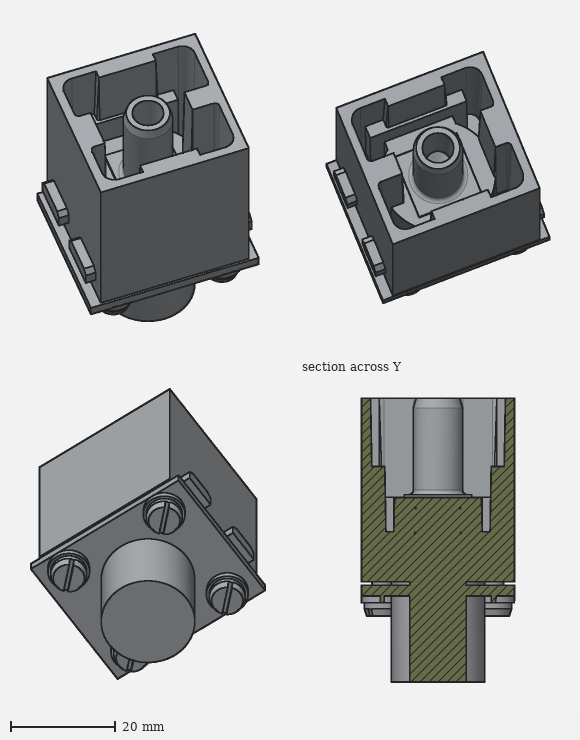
import cadquery as cq
import math

SIZE_X = 29.4
SIZE_Y = 34.4
SIZE_Z = 54.5

BODY_Y = 30.35
BODY_BOTTOM = 19.25

PLATE_TOP = 18.6
PLATE_THICKNESS = 2.05
PLATE_BOTTOM = PLATE_TOP - PLATE_THICKNESS
BARREL_DIAMETER = 18

SCREW_X = 10.7
SCREW_Y = 11.1
SPACER_DIAMETER = 4.0
WASHER_DIAMETER = 8.0
WASHER_THICKNESS = 1.3
HEAD_DIAMETER = 7.0
HEAD_TIP_DIAMETER = 6
HEAD_STRAIGHT = 1.1
HEAD_TAPERED = 1.45
SLOT_WIDTH = 0.8
SLOT_DEPTH = 1.3
SLOT_ANGLE = 45

BUMP_BOTTOM = 23.05
BUMP_TOP = 26.45
BUMP_CHAMFER = 1.0
FRONT_BUMP_INNER = 2.85
FRONT_BUMP_OUTER = 11.9
BACK_BUMP_INNER = 3.75
BACK_BUMP_OUTER = 10.9
BACK_BUMP_CHAMFER = 1.15

CAVITY_X = 12.9
CAVITY_BACK = 13.45
CAVITY_FRONT = -13.3
CAVITY_CORNER = 2.5
CAVITY_DRAFT = 1
SIDE_RIB_X = 11.3
SIDE_RIB_Y = 5.85
SIDE_RIB_DRAFT = 1.9
BACK_KEY_HALF = 2.25
BACK_KEY_TIP = 8.3
FRONT_KEY_HALF = 3.9
FRONT_KEY_TIP = -10.3
KEY_ROOT_RADIUS = 0.85

CORNER_FLOOR = 24
CENTRE_FLOOR = 35.4
LEDGE_FLOOR = 41.4
LEDGE_X = 10.2
LEDGE_Y = 10.0
CENTRE_DIAMETER = 22.0
CENTRE_HALF_Y = 7.05

PIN_BASE_SQUARE = 12.9
PIN_BASE_HEIGHT = 0.55
PIN_DIAMETER = 9.5
PIN_FOOT_RADIUS = 0.9
PIN_TIP_DIAMETER = 8.4
PIN_CHAMFER_HEIGHT = 1.85
BORE_DIAMETER = 6
BORE_END_DIAMETER = 5.0
BORE_DEPTH = 10.9
BORE_CONE_HEIGHT = 1.45


def box(size_x, size_y, bottom, top):
    """Block centred on the Z axis between two heights."""
    return cq.Workplane("XY").workplane(offset=bottom).rect(size_x, size_y).extrude(top - bottom)


def cylinder(diameter, bottom, top):
    """Cylinder on the Z axis between two heights."""
    return cq.Workplane("XY").workplane(offset=bottom).circle(diameter / 2).extrude(top - bottom)


def turned(profile):
    """Solid of revolution about Z from (radius, height) points."""
    return cq.Workplane("XZ").polyline(profile).close().revolve(360, (0, 0, 0), (0, 1, 0))


def cavity():
    """Drafted pocket with a key reaching in at the front and at the back."""
    right_half = [
        (BACK_KEY_HALF, BACK_KEY_TIP),
        (BACK_KEY_HALF, CAVITY_BACK),
        (CAVITY_X, CAVITY_BACK),
        (CAVITY_X, CAVITY_FRONT),
        (FRONT_KEY_HALF, CAVITY_FRONT),
        (FRONT_KEY_HALF, FRONT_KEY_TIP),
    ]
    left_half = [(-x, y) for x, y in reversed(right_half)]
    outline = cq.Sketch().polygon(right_half + left_half + right_half[:1])
    main_corners = [(x, y) for x in (-CAVITY_X, CAVITY_X) for y in (CAVITY_BACK, CAVITY_FRONT)]
    for x, y in main_corners:
        outline = outline.reset().vertices(cq.selectors.NearestToPointSelector((x, y, 0)))
        outline = outline.fillet(CAVITY_CORNER)
    key_roots = [(BACK_KEY_HALF, CAVITY_BACK), (FRONT_KEY_HALF, CAVITY_FRONT)]
    for x, y in key_roots + [(-x, y) for x, y in key_roots]:
        outline = outline.reset().vertices(cq.selectors.NearestToPointSelector((x, y, 0)))
        outline = outline.fillet(KEY_ROOT_RADIUS)
    depth = SIZE_Z - CORNER_FLOOR
    return cq.Workplane("XY", origin=(0, 0, SIZE_Z)).placeSketch(outline.reset()).extrude(
        -depth, taper=CAVITY_DRAFT
    )


def side_rib(side):
    """Rib on the cavity wall at side (+1 or -1) along X, widening down to the ledge."""
    outer_x = SIZE_X / 2
    return (
        cq.Workplane("XY", origin=(side * (SIDE_RIB_X + outer_x) / 2, 0, SIZE_Z))
        .rect(outer_x - SIDE_RIB_X, 2 * SIDE_RIB_Y)
        .extrude(LEDGE_FLOOR - SIZE_Z, taper=-SIDE_RIB_DRAFT)
    )


def centre_floor():
    """Round floor with a straight bar across it, widening downwards."""
    top = cq.Workplane("XY", origin=(0, 0, CENTRE_FLOOR))
    depth = CENTRE_FLOOR - CORNER_FLOOR
    disc = top.circle(CENTRE_DIAMETER / 2).extrude(-depth, taper=-CAVITY_DRAFT)
    bar = top.rect(2 * LEDGE_X, 2 * CENTRE_HALF_Y).extrude(-depth, taper=-CAVITY_DRAFT)
    return disc.union(bar)


def ledge(side):
    """Highest floor level, along the wall at side (+1 or -1) along X."""
    foot_x = LEDGE_X - (LEDGE_FLOOR - CORNER_FLOOR) * math.tan(math.radians(CAVITY_DRAFT))
    outer_x = SIZE_X / 2
    profile = [
        (side * foot_x, CORNER_FLOOR),
        (side * LEDGE_X, LEDGE_FLOOR),
        (side * outer_x, LEDGE_FLOOR),
        (side * outer_x, CORNER_FLOOR),
    ]
    return cq.Workplane("XZ").polyline(profile).close().extrude(LEDGE_Y, both=True)


def contact_pin():
    """Stepped pin standing on a square base, flush with the rim."""
    base_top = CENTRE_FLOOR + PIN_BASE_HEIGHT
    pin_radius = PIN_DIAMETER / 2
    pin = turned([
        (0, base_top),
        (pin_radius, base_top),
        (pin_radius, SIZE_Z - PIN_CHAMFER_HEIGHT),
        (PIN_TIP_DIAMETER / 2, SIZE_Z),
        (0, SIZE_Z),
    ])
    bore_end = SIZE_Z - BORE_DEPTH
    bore = turned([
        (0, SIZE_Z),
        (BORE_DIAMETER / 2, SIZE_Z),
        (BORE_END_DIAMETER / 2, bore_end),
        (0, bore_end - BORE_CONE_HEIGHT),
    ])
    base = box(PIN_BASE_SQUARE, PIN_BASE_SQUARE, CENTRE_FLOOR, base_top)
    post = base.union(pin)
    post = post.faces("<Z[1]").edges("%CIRCLE").fillet(PIN_FOOT_RADIUS)
    return post.cut(bore)


def latch_bump(side, centre_x, length, chamfer_x):
    """Bump on the Y face given by side (+1 or -1), its upper corners cut off."""
    half = length / 2
    shoulder = BUMP_TOP - BUMP_CHAMFER
    profile = [
        (-half, BUMP_BOTTOM),
        (half, BUMP_BOTTOM),
        (half, shoulder),
        (half - chamfer_x, BUMP_TOP),
        (chamfer_x - half, BUMP_TOP),
        (-half, shoulder),
    ]
    return (
        cq.Workplane("XZ", origin=(centre_x, 0, 0))
        .polyline(profile)
        .close()
        .extrude(-side * SIZE_Y / 2)
    )


def screw():
    """Spacer, washer and slotted head on the Z axis."""
    washer_bottom = PLATE_BOTTOM - WASHER_THICKNESS
    taper_top = washer_bottom - HEAD_STRAIGHT
    tip = taper_top - HEAD_TAPERED
    head = turned([
        (0, washer_bottom),
        (HEAD_DIAMETER / 2, washer_bottom),
        (HEAD_DIAMETER / 2, taper_top),
        (HEAD_TIP_DIAMETER / 2, tip),
        (0, tip),
    ])
    slot = box(2 * HEAD_DIAMETER, SLOT_WIDTH, tip, tip + SLOT_DEPTH)
    head = head.cut(slot.rotate((0, 0, 0), (0, 0, 1), SLOT_ANGLE))
    washer = cylinder(WASHER_DIAMETER, washer_bottom, PLATE_BOTTOM)
    spacer = cylinder(SPACER_DIAMETER, PLATE_BOTTOM, BODY_BOTTOM)
    return head.union(washer).union(spacer)


housing = box(SIZE_X, BODY_Y, BODY_BOTTOM, SIZE_Z)
for direction in (-1, 1):
    for side, inner, outer, chamfer_x in (
        (-1, FRONT_BUMP_INNER, FRONT_BUMP_OUTER, BUMP_CHAMFER),
        (1, BACK_BUMP_INNER, BACK_BUMP_OUTER, BACK_BUMP_CHAMFER),
    ):
        middle = direction * (inner + outer) / 2
        housing = housing.union(latch_bump(side, middle, outer - inner, chamfer_x))

pocket = cavity().cut(centre_floor())
for side in (-1, 1):
    pocket = pocket.cut(side_rib(side)).cut(ledge(side))
housing = housing.cut(pocket)

plate = box(SIZE_X, SIZE_Y, PLATE_BOTTOM, PLATE_TOP)
barrel = cylinder(BARREL_DIAMETER, 0, BODY_BOTTOM)

result = housing.union(plate).union(barrel).union(contact_pin())
for x in (-SCREW_X, SCREW_X):
    for y in (-SCREW_Y, SCREW_Y):
        result = result.union(screw().translate((x, y, 0)))